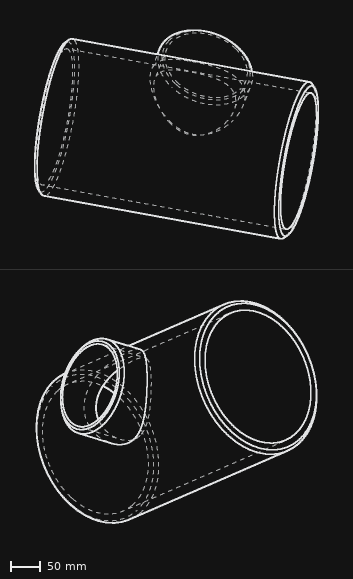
import cadquery as cq

run_length = 432.0
run_diameter = 273.0
run_bore = 236.5

branch_diameter = 168.0
branch_reach = 193.5
branch_wall = 11.2
branch_bore = branch_diameter - 2 * branch_wall

bevel = 6.0


def run_body():
    """Solid run cylinder with both ends bevelled."""
    body = cq.Workplane("YZ").circle(run_diameter / 2).extrude(run_length / 2, both=True)
    return body.faces("<X or >X").chamfer(bevel)


def branch_cylinder(diameter):
    """Cylinder from the run axis out to the branch end."""
    return cq.Workplane("XZ").circle(diameter / 2).extrude(-branch_reach)


def run_bore_cutter():
    """Cylinder that opens the run from end to end."""
    return cq.Workplane("YZ").circle(run_bore / 2).extrude(run_length / 2, both=True)


branch_body = branch_cylinder(branch_diameter).faces(">Y").chamfer(bevel)
outer_body = run_body().union(branch_body)
result = outer_body.cut(run_bore_cutter()).cut(branch_cylinder(branch_bore))